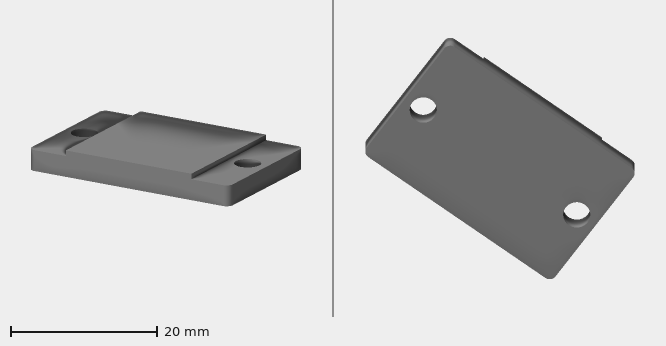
import cadquery as cq

plate_length = 32.0
plate_width = 20.0
plate_height = 3.0
corner_radius = 1.0

total_height = 3.8
pad_length = plate_width
pad_height = total_height - plate_height

hole_diameter = 3.7
hole_spacing = 26.0


def make_plate():
    """Flat plate with rounded vertical corners, resting on Z = 0."""
    plate = cq.Workplane("XY").box(plate_length, plate_width, plate_height, centered=(True, True, False))
    return plate.edges("|Z").fillet(corner_radius)


def make_pad():
    """Raised pad on the middle of the plate's top face."""
    return (
        cq.Workplane("XY")
        .workplane(offset=plate_height)
        .box(pad_length, plate_width, pad_height, centered=(True, True, False))
    )


def make_mounting_holes():
    """Cylinders that cut one through hole in each end flange."""
    half_spacing = hole_spacing / 2
    return (
        cq.Workplane("XY")
        .pushPoints([(-half_spacing, 0), (half_spacing, 0)])
        .circle(hole_diameter / 2)
        .extrude(total_height)
    )


result = make_plate().union(make_pad()).cut(make_mounting_holes())